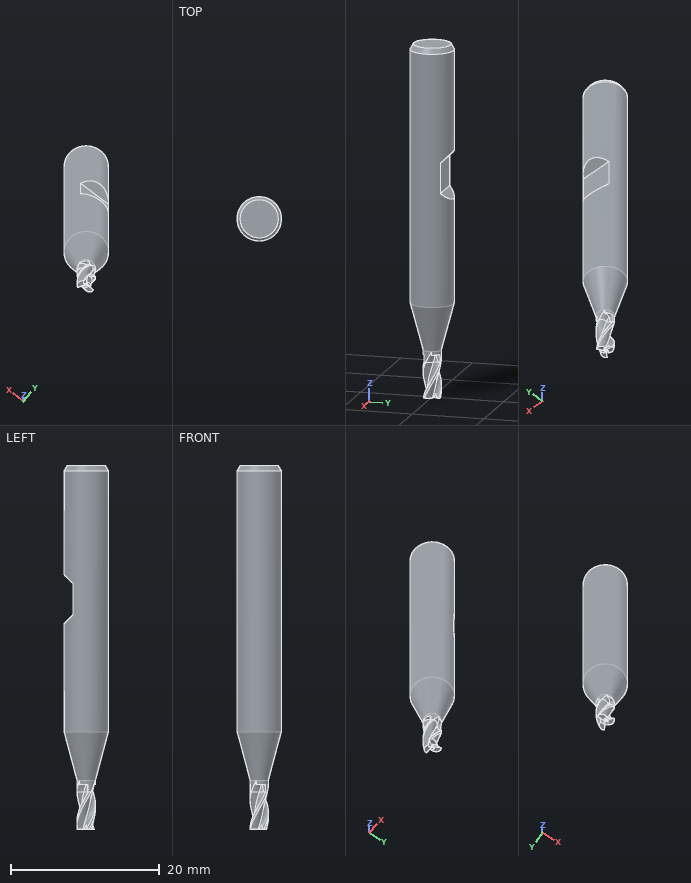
import cadquery as cq
import math

overall_length = 49.0
shank_radius = 3.0
end_chamfer_height = 0.75
end_chamfer_angle = 30.0
end_chamfer_width = end_chamfer_height * math.tan(math.radians(end_chamfer_angle))

flat_depth = 1.2
flat_length = 4.2
flat_centre_depth = 18.0
flat_centre_z = overall_length - flat_centre_depth

cutter_radius = 1.25
neck_top = 6.6
cone_half_angle = 15.0
cone_top = neck_top + (shank_radius - cutter_radius) / math.tan(math.radians(cone_half_angle))

flute_count = 3
pitch_angle = 360 / flute_count
cutting_length = 5.0
helix_angle = 30.0
twist_per_mm = math.degrees(math.tan(math.radians(helix_angle)) / cutter_radius)
first_edge_angle = 60.0
tip_edge_angles = [first_edge_angle + tooth * pitch_angle for tooth in range(flute_count)]
clear_radius = 1.5 * cutter_radius
core_radius = 0.65
land_angle = 18.0
floor_angle = 77.0
back_mid_radius = 0.97
rake_mid_radius = 0.75
rake_mid_angle = 109.0

pocket_top = 6.05
pocket_corner_radius = 0.2
ramp_top = 6.55
ramp_direction = 43.0
ramp_tilt = 24.0
ramp_length = 4.0
ramp_width = 0.65

gash_height = 0.55
gash_width = 0.4


def polar(radius, angle):
    return (radius * math.cos(math.radians(angle)), radius * math.sin(math.radians(angle)))


def add_flute_profile(sketch, edge_angle):
    """Tooth back and rake face, from the heel behind one cutting edge to the next edge."""
    heel = edge_angle + land_angle
    floor = edge_angle + floor_angle
    return (
        sketch
        .threePointArc(polar(back_mid_radius, (heel + floor) / 2), polar(core_radius, floor))
        .threePointArc(
            polar(rake_mid_radius, edge_angle + rake_mid_angle),
            polar(cutter_radius, edge_angle + pitch_angle),
        )
    )


def fluted_bar(length):
    """Twisted bar with a land, a back and a rake face per tooth."""
    section = cq.Workplane("XY").moveTo(*polar(cutter_radius, first_edge_angle))
    for edge_angle in tip_edge_angles:
        land_middle = polar(cutter_radius, edge_angle + land_angle / 2)
        section = section.threePointArc(land_middle, polar(cutter_radius, edge_angle + land_angle))
        section = add_flute_profile(section, edge_angle)
    return section.close().twistExtrude(length, twist_per_mm * length)


def flute_cutter(base_z, edge_angle, length):
    """Twisted space of the one flute that lies between a cutting edge and the next."""
    heel = edge_angle + land_angle
    next_edge = edge_angle + pitch_angle
    section = cq.Workplane("XY").workplane(offset=base_z).moveTo(*polar(cutter_radius, heel))
    return (
        add_flute_profile(section, edge_angle)
        .lineTo(*polar(clear_radius, next_edge))
        .threePointArc(polar(clear_radius, (heel + next_edge) / 2), polar(clear_radius, heel))
        .close()
        .twistExtrude(length, twist_per_mm * length)
    )


def end_gash(edge_angle):
    """Wedge cut with an upright wall along one end cutting edge."""
    return (
        cq.Workplane("YZ")
        .polyline([(0, 0), (0, gash_height), (-gash_width, 0)])
        .close()
        .extrude(clear_radius)
        .rotate((0, 0, 0), (0, 0, 1), edge_angle)
    )


def build_cutting_head():
    head = fluted_bar(cutting_length)
    for edge_angle in tip_edge_angles:
        head = head.cut(end_gash(edge_angle))
    return head


def runout_limits(edge_angle):
    """Region one flute may reach in the neck: a sector with a level top, plus a sloping ramp."""
    sector = (
        cq.Workplane("XY")
        .workplane(offset=cutting_length)
        .lineTo(clear_radius, 0)
        .threePointArc(polar(clear_radius, pitch_angle / 2), polar(clear_radius, pitch_angle))
        .close()
        .extrude(pocket_top - cutting_length)
    )
    upper_edge_point = (*polar(clear_radius / 2, pitch_angle), pocket_top)
    sector = sector.edges(cq.NearestToPointSelector(upper_edge_point)).fillet(pocket_corner_radius)
    ramp = (
        cq.Workplane("XY")
        .box(ramp_length, ramp_width, ramp_length, centered=(False, True, True))
        .rotate((0, 0, 0), (0, 1, 0), ramp_tilt)
        .translate((cutter_radius, 0, ramp_top))
        .rotate((0, 0, 0), (0, 0, 1), ramp_direction)
    )
    return sector.union(ramp).rotate((0, 0, 0), (0, 0, 1), edge_angle)


def cut_flute_runouts(blank):
    """Continue the flutes above the cutting head, each ending at an upright rake wall."""
    for tip_edge_angle in tip_edge_angles:
        edge_angle = tip_edge_angle + twist_per_mm * cutting_length
        flute = flute_cutter(cutting_length, edge_angle, ramp_top - cutting_length)
        blank = blank.cut(flute.intersect(runout_limits(edge_angle)))
    return blank


def clamping_flat():
    floor_y = shank_radius - flat_depth
    inner = flat_length / 2
    outer = inner + flat_depth
    return (
        cq.Workplane("YZ", origin=(0, 0, flat_centre_z))
        .polyline([(floor_y, -inner), (floor_y, inner), (shank_radius, outer), (shank_radius, -outer)])
        .close()
        .extrude(shank_radius, both=True)
    )


def build_shank():
    blank = (
        cq.Workplane("XZ")
        .polyline([
            (0, cutting_length),
            (cutter_radius, cutting_length),
            (cutter_radius, neck_top),
            (shank_radius, cone_top),
            (shank_radius, overall_length - end_chamfer_height),
            (shank_radius - end_chamfer_width, overall_length),
            (0, overall_length),
        ])
        .close()
        .revolve(360, (0, 0, 0), (0, 1, 0))
        .rotate((0, 0, 0), (0, 0, 1), -90)
    )
    return cut_flute_runouts(blank.cut(clamping_flat()))


cutting_head = build_cutting_head()
shank = build_shank()
result = cq.Compound.makeCompound([cutting_head.val(), shank.val()])